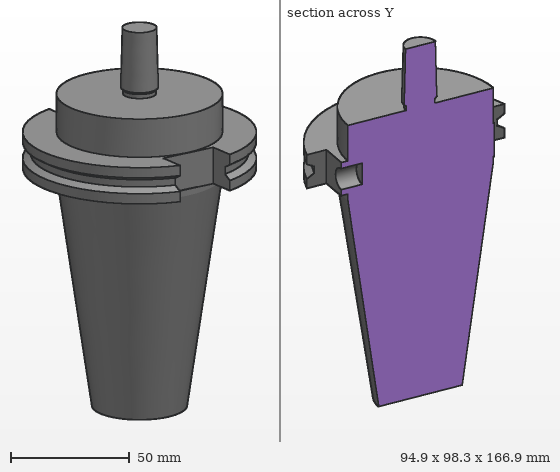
import cadquery as cq

total_height = 166.9
gauge_height = 101.8
flange_bottom = 104.8
flange_top = 120.8
boss_top = 137.7
neck_top = 139.5
arbor_base = 140.5

small_end_diameter = 40.2
body_diameter = 70.0
flange_diameter = 98.3
groove_diameter = 91.6
neck_diameter = 14.0
arbor_base_diameter = 15.9
arbor_tip_diameter = 14.5

groove_opening = 7.0
groove_floor = 3.2
flange_middle = (flange_bottom + flange_top) / 2

slot_width = 25.7
slot_floor_left = 38.0
slot_floor_right = 35.4
hole_diameter = 9.8
hole_depth = 10.0


def turned_body():
    """Steep taper, grooved flange, boss and tapered arbor as one revolved profile."""
    diameters_and_heights = [
        (small_end_diameter, 0),
        (body_diameter, gauge_height),
        (body_diameter, flange_bottom),
        (flange_diameter, flange_bottom),
        (flange_diameter, flange_middle - groove_opening / 2),
        (groove_diameter, flange_middle - groove_floor / 2),
        (groove_diameter, flange_middle + groove_floor / 2),
        (flange_diameter, flange_middle + groove_opening / 2),
        (flange_diameter, flange_top),
        (body_diameter, flange_top),
        (body_diameter, boss_top),
        (neck_diameter, boss_top),
        (neck_diameter, neck_top),
        (arbor_base_diameter, arbor_base),
        (arbor_tip_diameter, total_height),
    ]
    profile = cq.Workplane("XZ").moveTo(0, 0)
    for diameter, height in diameters_and_heights:
        profile = profile.lineTo(diameter / 2, height)
    return profile.lineTo(0, total_height).close().revolve(360, (0, 0), (0, 1))


def drive_slot(floor_distance, side):
    """Block open to the flange rim; side is -1 for -X and +1 for +X."""
    length = flange_diameter / 2
    return cq.Workplane("XY").box(
        length, slot_width, flange_top - flange_bottom
    ).translate((side * (floor_distance + length / 2), 0, flange_middle))


def slot_hole():
    """Blind radial hole in the floor of the -X slot."""
    return (
        cq.Workplane("YZ", origin=(-slot_floor_left, 0, flange_middle))
        .circle(hole_diameter / 2)
        .extrude(hole_depth)
    )


result = (
    turned_body()
    .cut(drive_slot(slot_floor_left, -1))
    .cut(drive_slot(slot_floor_right, 1))
    .cut(slot_hole())
)